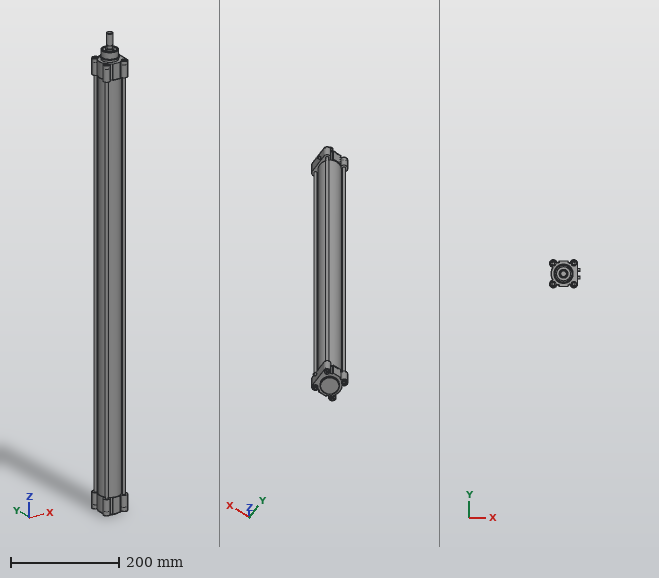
import cadquery as cq

TOTAL_HEIGHT = 963.0

BLOCK_HALF_WIDTH = 26.0
BLOCK_HEIGHT = 33.0
BLOCK_CORE_DIAMETER = 46.0
PAD_HALF_WIDTH = 8.4
PAD_PROJECTION = 0.5
LOBE_RADIUS = 7.0
TIE_ROD_OFFSET = BLOCK_HALF_WIDTH - LOBE_RADIUS

CAP_BOTTOM = 5.0
CAP_TOP = CAP_BOTTOM + BLOCK_HEIGHT
HEAD_TOP = 910.0
HEAD_BOTTOM = HEAD_TOP - BLOCK_HEIGHT

BOSS_DIAMETER = 5.3
BOSS_HEIGHT = 4.4
BOSS_OFFSET_Y = 7.2
BOSS_FROM_BARREL = 10.0

SPIGOT_DIAMETER = 33.0
SPIGOT_TOP = 930.0
SEAL_RECESS_DIAMETER = 26.0
SEAL_RECESS_DEPTH = 1.0
SPIGOT_CHAMFER = 1.0
COLLAR_DIAMETER = 36.0
COLLAR_BOTTOM = 915.0
COLLAR_THICKNESS = 1.4
REAR_SPIGOT_DIAMETER = COLLAR_DIAMETER
REAR_SPIGOT_CHAMFER = 1.0

BARREL_DIAMETER = 44.0
TIE_ROD_DIAMETER = 6.0
TIE_NUT_DIAMETER = 10.0
TIE_NUT_HEIGHT = 8.0
MOUNTING_HOLE_DIAMETER = 5.0
MOUNTING_HOLE_DEPTH = 6.0

ROD_DIAMETER = 16.0
ROD_SHOULDER = 932.0
NECK_DIAMETER = 11.0
THREAD_DIAMETER = 13.0
THREAD_BOTTOM = 938.0
THREAD_CHAMFER = 1.0

CORNERS = [(sx * TIE_ROD_OFFSET, sy * TIE_ROD_OFFSET) for sx in (-1, 1) for sy in (-1, 1)]


def cylinder(diameter, bottom, top, center=(0, 0)):
    """Vertical cylinder between two heights."""
    disc = cq.Workplane("XY").workplane(offset=bottom).center(*center).circle(diameter / 2)
    return disc.extrude(top - bottom)


def box(x_min, x_max, half_depth, bottom, top):
    """Upright box that is symmetric about the XZ plane."""
    size = (x_max - x_min, 2 * half_depth, top - bottom)
    return cq.Workplane("XY").box(*size, centered=False).translate((x_min, -half_depth, bottom))


def end_block(bottom, boss_y, boss_z):
    """Round core with four corner lobes, pads on the Y sides and a flat +X face with a screw boss."""
    top = bottom + BLOCK_HEIGHT
    pad_half_depth = BLOCK_CORE_DIAMETER / 2 + PAD_PROJECTION
    block = cylinder(BLOCK_CORE_DIAMETER, bottom, top)
    block = block.union(box(-PAD_HALF_WIDTH, PAD_HALF_WIDTH, pad_half_depth, bottom, top))
    block = block.union(box(0, BLOCK_HALF_WIDTH, TIE_ROD_OFFSET, bottom, top))
    for corner in CORNERS:
        block = block.union(cylinder(2 * LOBE_RADIUS, bottom, top, corner))
    face = cq.Workplane("YZ", origin=(BLOCK_HALF_WIDTH, boss_y, boss_z))
    return block.union(face.circle(BOSS_DIAMETER / 2).extrude(BOSS_HEIGHT))


def plain_tie_rod(corner):
    """Tie rod with a round nut at each end, before its mounting holes are drilled."""
    rod = cylinder(TIE_ROD_DIAMETER, CAP_BOTTOM, HEAD_TOP, corner)
    rod = rod.union(cylinder(TIE_NUT_DIAMETER, CAP_BOTTOM, CAP_BOTTOM + TIE_NUT_HEIGHT, corner))
    return rod.union(cylinder(TIE_NUT_DIAMETER, HEAD_TOP - TIE_NUT_HEIGHT, HEAD_TOP, corner))


def drill_mounting_holes(rod, corner):
    """Blind mounting holes in both ends of a tie rod."""
    lower = cylinder(MOUNTING_HOLE_DIAMETER, CAP_BOTTOM, CAP_BOTTOM + MOUNTING_HOLE_DEPTH, corner)
    upper = cylinder(MOUNTING_HOLE_DIAMETER, HEAD_TOP - MOUNTING_HOLE_DEPTH, HEAD_TOP, corner)
    return rod.cut(lower).cut(upper)


def make_piston_rod():
    """Piston rod with a neck and a threaded tip."""
    rod = cylinder(ROD_DIAMETER, HEAD_BOTTOM, ROD_SHOULDER)
    neck = cylinder(NECK_DIAMETER, ROD_SHOULDER, THREAD_BOTTOM)
    thread = cylinder(THREAD_DIAMETER, THREAD_BOTTOM, TOTAL_HEIGHT).edges().chamfer(THREAD_CHAMFER)
    return rod.union(neck).union(thread)


def make_head(bores):
    """Front head: end block with the rod spigot, its seal recess and its collar."""
    head = end_block(HEAD_BOTTOM, BOSS_OFFSET_Y, HEAD_BOTTOM + BOSS_FROM_BARREL)
    spigot = cylinder(SPIGOT_DIAMETER, HEAD_TOP, SPIGOT_TOP).faces(">Z").chamfer(SPIGOT_CHAMFER)
    collar = cylinder(COLLAR_DIAMETER, COLLAR_BOTTOM, COLLAR_BOTTOM + COLLAR_THICKNESS)
    recess = cylinder(SEAL_RECESS_DIAMETER, SPIGOT_TOP - SEAL_RECESS_DEPTH, SPIGOT_TOP)
    spigot = spigot.cut(recess)
    head = head.union(spigot).union(collar)
    for bore in bores:
        head = head.cut(bore)
    return head


def make_cap(bores):
    """Rear cap: end block turned over, with a short centring spigot."""
    cap = end_block(CAP_BOTTOM, -BOSS_OFFSET_Y, CAP_TOP - BOSS_FROM_BARREL)
    spigot = cylinder(REAR_SPIGOT_DIAMETER, 0, CAP_BOTTOM).faces("<Z").chamfer(REAR_SPIGOT_CHAMFER)
    cap = cap.union(spigot)
    for bore in bores:
        cap = cap.cut(bore)
    return cap


piston_rod = make_piston_rod()
blank_tie_rods = [plain_tie_rod(corner) for corner in CORNERS]
tie_rods = [drill_mounting_holes(rod, corner) for rod, corner in zip(blank_tie_rods, CORNERS)]
head = make_head([piston_rod, *blank_tie_rods])
cap = make_cap(blank_tie_rods)
barrel = cylinder(BARREL_DIAMETER, CAP_TOP, HEAD_BOTTOM)

result = cq.Compound.makeCompound(
    [piston_rod.val(), head.val(), barrel.val(), cap.val(), *[rod.val() for rod in tie_rods]]
)